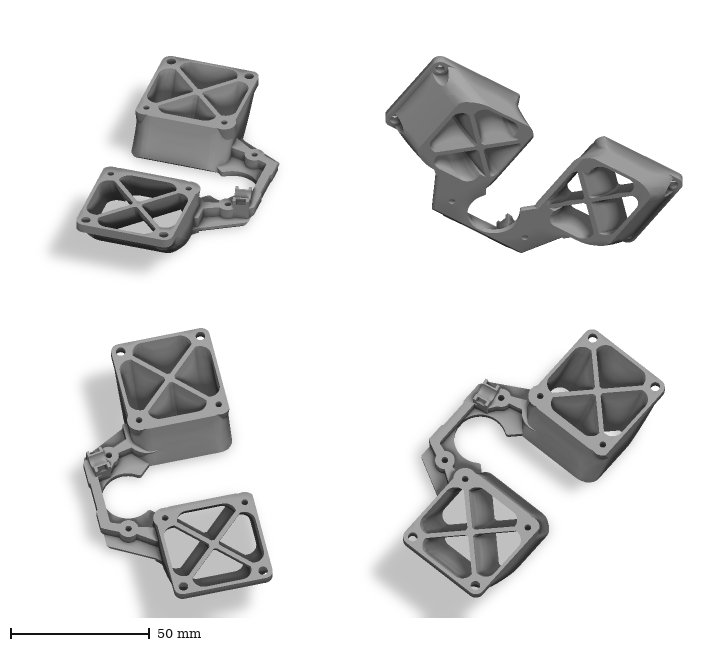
import cadquery as cq
import math

HEIGHT = 15.0
HALF_LENGTH = 53.7
DUCT_WIDTH = 36.3
DUCT_MID_X = DUCT_WIDTH / 2
FAN_MID_Y = 35.8

NEAR_FLOOR_Y = 8.0
NEAR_SLOPE = 0.82
NEAR_CURVE = 0.01583
FAR_FLOOR_Y = 41.5
FAR_SLOPE = 1.3
FAR_CURVE = 0.03352
OUTER_CORNER_X = 6.4
NEAR_CORNER = 6.8
FAR_CORNER_TOP = 5.7
FAR_CORNER_BOTTOM = 11.2
CIRCULAR_BEND = 1 - math.sqrt(0.5)
FLAT_BEND = 0.38
SECTION_COUNT = 5
FLANGE_THICKNESS = 3.3
FLANGE_CORNER = 3.1
LIP_CHAMFER = 1.5

SIDE_WALL = 1.3
FAR_WALL = 1.1
NEAR_WALL = 3.1
NOTCH_X = 7.3
NOTCH_FAR = 7.0
NOTCH_NEAR = 8.2
PASSAGE_CORNER = 4.2
PASSAGE_DRIFT = 12.6
VANE_THICKNESS = 1.7
VANE_LENGTH = 64.4
VANE_CORE = 3.7

SCREW_OFFSET = 14.7
THROUGH_DIAMETER = 3.4
PILOT_DIAMETER = 2.4
PILOT_DEPTH = 5.4
HEAD_RADIUS = 3.1
HEAD_BOTTOM_Z = 6.5
BOSS_TOP_RADIUS = 4.3
BOSS_BOTTOM_RADIUS = 3.4
BOSS_HEIGHT = 6.4

ARM_MID_Y = 1.5
ARM_ROOT_X = 35.4
PLATE_END_X = 54.3
PLATE_SLOPE_START = (38.3, 27.6)
PLATE_SLOPE_END = (53.3, 19.3)
RIB_INNER_X = 51.4
RIB_OUTER_X = 54.7
PAD_X = 55.2
PLATE_THICKNESS = 2.0
PLATE_CHAMFER = 1.0
RIB_TOP_Z = 6.1
ARM_HOLE_X = 45.5
ARM_HOLE_OFFSET = 15.8
ARM_BOSS_RADIUS = 3.5
BEVEL_START_X = 52.2
COLLAR_RADIUS = 7.6
COLLAR_X = 30.3
COLLAR_Y = -19.5
COLLAR_END_Y = -25.8

CLIP_X = 50.0
CLIP_Y = -11.4
CLIP_ANGLE = 10.0
CLIP_WIDTH = 5.9
CLIP_LENGTH = 9.1
CLIP_TOP_Z = 9.7
GROOVE_RADIUS = 2.4
GROOVE_DEPTH = 2.0
TIE_WIDTH = 3.8
TIE_INNER_RADIUS = 3.0
TIE_OUTER_RADIUS = 4.9


def near_edge(z):
    """Y of the duct's outer face nearest the middle of the part."""
    return NEAR_FLOOR_Y + NEAR_SLOPE * z - NEAR_CURVE * z**2


def far_edge(z):
    """Y of the duct's outer face farthest from the middle of the part."""
    return FAR_FLOOR_Y + FAR_SLOPE * z - FAR_CURVE * z**2


def passage_drift(z):
    """How far the passage has moved towards the middle of the part at height z."""
    return PASSAGE_DRIFT * (far_edge(HEIGHT) - far_edge(z)) / (far_edge(HEIGHT) - far_edge(0))


def rounded_section(z, x_min, x_max, y_near, y_far, corner_x, corner_near, corner_far, near_bend):
    """Rectangle at height z with oval corners; a larger near_bend flattens the near pair."""

    def corner(path, tip, start_way, end_way, bend):
        middle = (
            tip[0] - bend * (start_way[0] - end_way[0]),
            tip[1] - bend * (start_way[1] - end_way[1]),
        )
        end = (tip[0] + end_way[0], tip[1] + end_way[1])
        return path.spline([middle, end], tangents=[start_way, end_way], includeCurrent=True)

    path = cq.Workplane("XY", origin=(0, 0, z)).moveTo(x_min + corner_x, y_near)
    path = path.lineTo(x_max - corner_x, y_near)
    path = corner(path, (x_max, y_near), (corner_x, 0), (0, corner_near), near_bend)
    path = path.lineTo(x_max, y_far - corner_far)
    path = corner(path, (x_max, y_far), (0, corner_far), (-corner_x, 0), CIRCULAR_BEND)
    path = path.lineTo(x_min + corner_x, y_far)
    path = corner(path, (x_min, y_far), (-corner_x, 0), (0, -corner_far), CIRCULAR_BEND)
    path = path.lineTo(x_min, y_near + corner_near)
    path = corner(path, (x_min, y_near), (0, -corner_near), (corner_x, 0), near_bend)
    return path.close().wire().val()


def loft_up(section):
    """Loft the wires that section(z) gives, from the floor to the top."""
    heights = [HEIGHT * i / (SECTION_COUNT - 1) for i in range(SECTION_COUNT)]
    return cq.Workplane(cq.Solid.makeLoft([section(z) for z in heights]))


def make_shell():
    def section(z):
        far_corner = FAR_CORNER_BOTTOM + (FAR_CORNER_TOP - FAR_CORNER_BOTTOM) * z / HEIGHT
        return rounded_section(
            z,
            0,
            DUCT_WIDTH,
            near_edge(z),
            far_edge(z),
            OUTER_CORNER_X,
            NEAR_CORNER,
            far_corner,
            FLAT_BEND,
        )

    shell = loft_up(section)
    lip_y = near_edge(LIP_CHAMFER)
    lip_cut = (
        cq.Workplane("YZ")
        .polyline([(0, 0), (lip_y + LIP_CHAMFER, 0), (lip_y, LIP_CHAMFER), (0, LIP_CHAMFER)])
        .close()
        .extrude(DUCT_WIDTH)
    )
    return shell.cut(lip_cut)


def make_flange():
    return (
        cq.Workplane("XY", origin=(0, 0, HEIGHT - FLANGE_THICKNESS))
        .moveTo(0, FAN_MID_Y)
        .lineTo(DUCT_WIDTH, FAN_MID_Y)
        .lineTo(DUCT_WIDTH, HALF_LENGTH)
        .lineTo(0, HALF_LENGTH)
        .close()
        .extrude(FLANGE_THICKNESS)
        .edges("|Z and >Y")
        .fillet(FLANGE_CORNER)
    )


def make_passage():
    """Plus-shaped air passage, leaving out the crossed vanes."""

    def opening(x_inset, near_inset, far_inset):
        def section(z):
            return rounded_section(
                z,
                x_inset,
                DUCT_WIDTH - x_inset,
                near_edge(z) + near_inset,
                far_edge(HEIGHT) - passage_drift(z) - far_inset,
                PASSAGE_CORNER,
                PASSAGE_CORNER,
                PASSAGE_CORNER,
                CIRCULAR_BEND,
            )

        return loft_up(section)

    def vane(length, thickness, angle):
        def section(z):
            return (
                cq.Workplane("XY", origin=(DUCT_MID_X, FAN_MID_Y - passage_drift(z), z))
                .transformed(rotate=(0, 0, angle))
                .rect(length, thickness)
                .wire()
                .val()
            )

        return loft_up(section)

    passage = opening(SIDE_WALL, NOTCH_NEAR, NOTCH_FAR).union(opening(NOTCH_X, NEAR_WALL, FAR_WALL))
    for angle in (45, -45):
        passage = passage.cut(vane(VANE_LENGTH, VANE_THICKNESS, angle))
    return passage.cut(vane(VANE_CORE, VANE_CORE, 0))


def make_pilot_bosses():
    """Tapered bosses round the near pilot holes, trimmed flush with the -X side."""
    bosses = cq.Workplane("XY")
    for side in (-1, 1):
        cone = cq.Solid.makeCone(
            BOSS_BOTTOM_RADIUS,
            BOSS_TOP_RADIUS,
            BOSS_HEIGHT,
            pnt=cq.Vector(DUCT_MID_X + side * SCREW_OFFSET, FAN_MID_Y - SCREW_OFFSET, HEIGHT - BOSS_HEIGHT),
        )
        bosses = bosses.union(cq.Workplane(cone))
    keep = cq.Workplane("XY").box(2 * DUCT_WIDTH, HALF_LENGTH, HEIGHT, centered=False)
    return bosses.intersect(keep)


def make_screw_holes():
    near_y = FAN_MID_Y - SCREW_OFFSET
    far_y = FAN_MID_Y + SCREW_OFFSET
    columns = [DUCT_MID_X - SCREW_OFFSET, DUCT_MID_X + SCREW_OFFSET]

    def holes(y, radius, z_min, z_max):
        return (
            cq.Workplane("XY", origin=(0, 0, z_min))
            .pushPoints([(x, y) for x in columns])
            .circle(radius)
            .extrude(z_max - z_min)
        )

    pilots = holes(near_y, PILOT_DIAMETER / 2, HEIGHT - PILOT_DEPTH, HEIGHT)
    through = holes(far_y, THROUGH_DIAMETER / 2, HEAD_BOTTOM_Z, HEIGHT)
    heads = holes(far_y, HEAD_RADIUS, 0, HEIGHT - FLANGE_THICKNESS)
    return pilots.union(through).union(heads)


def make_plate():
    """Thin arm plate, built as one half and mirrored about the arm's middle."""
    half = (
        cq.Workplane("XY")
        .moveTo(ARM_ROOT_X, 31.1)
        .threePointArc((36.9, 28.9), PLATE_SLOPE_START)
        .lineTo(*PLATE_SLOPE_END)
        .threePointArc((54.1, 18.6), (PLATE_END_X, 17.5))
        .lineTo(PLATE_END_X, 0)
        .lineTo(51.5, 0)
        .threePointArc((45.3, 8.9), (36.7, 7.7))
        .threePointArc((35.9, 7.5), (35.1, 8.0))
        .lineTo(31.6, 11.5)
        .lineTo(ARM_ROOT_X, 16.1)
        .close()
        .extrude(PLATE_THICKNESS)
    )
    run = PLATE_SLOPE_END[0] - PLATE_SLOPE_START[0]
    rise = PLATE_SLOPE_END[1] - PLATE_SLOPE_START[1]
    slope_plane = cq.Plane(origin=(*PLATE_SLOPE_START, 0), xDir=(-rise, run, 0), normal=(run, rise, 0))
    chamfer = (
        cq.Workplane(slope_plane)
        .polyline([(-PLATE_CHAMFER, 0), (0, 0), (0, PLATE_CHAMFER)])
        .close()
        .extrude(math.hypot(run, rise))
    )
    half = half.cut(chamfer)
    return half.union(half.mirror("XZ")).translate((0, ARM_MID_Y, 0))


def make_rib():
    """Raised rib along the arm, with a pad at each end of its +X side."""
    return (
        cq.Workplane("XY")
        .moveTo(ARM_ROOT_X, 25.7)
        .lineTo(43.0, 20.3)
        .lineTo(49.2, 17.8)
        .lineTo(54.5, 15.3)
        .lineTo(PAD_X, 14.6)
        .lineTo(PAD_X, 7.7)
        .lineTo(RIB_OUTER_X, 7.1)
        .lineTo(RIB_OUTER_X, -4.1)
        .lineTo(PAD_X, -4.7)
        .lineTo(PAD_X, -13.3)
        .lineTo(54.3, -14.1)
        .lineTo(48.3, -16.5)
        .lineTo(43.2, -17.1)
        .lineTo(ARM_ROOT_X, -20.6)
        .lineTo(ARM_ROOT_X, -15.9)
        .lineTo(41.9, -14.5)
        .lineTo(46.6, -7.8)
        .lineTo(RIB_INNER_X, -6.2)
        .lineTo(RIB_INNER_X, 12.6)
        .threePointArc((51.2, 13.2), (50.7, 13.6))
        .lineTo(48.0, 14.6)
        .lineTo(41.9, 17.4)
        .lineTo(ARM_ROOT_X, 19.1)
        .close()
        .extrude(RIB_TOP_Z)
    )


def arm_cylinders(radius):
    """Upright cylinders at the two mounting holes of the arm."""
    return (
        cq.Workplane("XY")
        .pushPoints([(ARM_HOLE_X, ARM_MID_Y + side * ARM_HOLE_OFFSET) for side in (-1, 1)])
        .circle(radius)
        .extrude(RIB_TOP_Z)
    )


def make_collar():
    """Rounded collar where the arm wraps the corner of the -Y duct."""
    straight = COLLAR_Y - COLLAR_END_Y
    block = (
        cq.Workplane("XY")
        .rect(COLLAR_RADIUS, straight, centered=False)
        .extrude(RIB_TOP_Z)
        .translate((COLLAR_X, COLLAR_END_Y, 0))
    )
    return cq.Workplane("XY").center(COLLAR_X, COLLAR_Y).circle(COLLAR_RADIUS).extrude(RIB_TOP_Z).union(block)


def clip_cylinder(radius, width):
    """Cylinder lying across the clip, on the axis of its cable groove."""
    return (
        cq.Workplane("YZ")
        .center(0, CLIP_TOP_Z - GROOVE_DEPTH + GROOVE_RADIUS)
        .circle(radius)
        .extrude(width / 2, both=True)
    )


def place_clip(feature):
    return feature.rotate((0, 0, 0), (0, 0, 1), CLIP_ANGLE).translate((CLIP_X, CLIP_Y, 0))


def make_clip():
    """Upright block with a round cable groove across it."""
    block = cq.Workplane("XY").rect(CLIP_WIDTH, CLIP_LENGTH).extrude(CLIP_TOP_Z)
    return place_clip(block.cut(clip_cylinder(GROOVE_RADIUS, CLIP_WIDTH)))


def make_tie_channel():
    """Ring-shaped channel for a cable tie, passing under the groove."""
    ring = clip_cylinder(TIE_OUTER_RADIUS, TIE_WIDTH).cut(clip_cylinder(TIE_INNER_RADIUS, TIE_WIDTH))
    return place_clip(ring)


def make_arm():
    arm = make_plate().union(make_rib()).union(arm_cylinders(ARM_BOSS_RADIUS))
    arm = arm.union(make_clip()).cut(make_tie_channel()).cut(arm_cylinders(PILOT_DIAMETER / 2))
    bevel = (
        cq.Workplane("XZ")
        .moveTo(BEVEL_START_X, 0)
        .lineTo(BEVEL_START_X + RIB_TOP_Z, 0)
        .lineTo(BEVEL_START_X + RIB_TOP_Z, RIB_TOP_Z)
        .close()
        .extrude(HALF_LENGTH, both=True)
    )
    return arm.cut(bevel)


def both_ducts(feature):
    return feature.union(feature.mirror("XZ"))


duct_body = make_shell().union(make_flange()).union(make_pilot_bosses())
duct_cuts = make_passage().union(make_screw_holes())

result = both_ducts(duct_body).union(make_arm()).union(make_collar()).cut(both_ducts(duct_cuts))